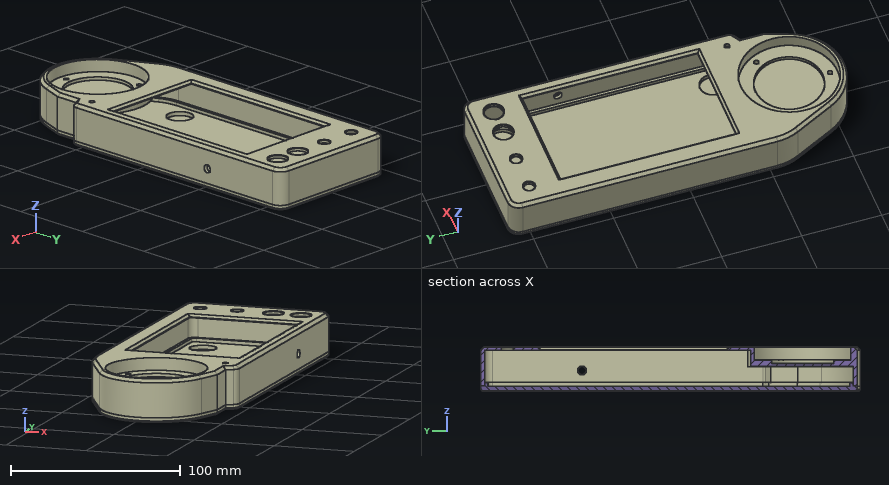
import cadquery as cq
import math

WIDTH = 90.0
LENGTH = 224.0
HEIGHT = 26.0
PLATE_THICKNESS = 3.0
TOP_CHAMFER = 2.0
BOTTOM_CHAMFER = 1.0

NOSE_RADIUS = 34.0
DIAL_X = 1.5
LEFT_X = -WIDTH / 2
RIGHT_X = WIDTH / 2
BACK_Y = LENGTH / 2
DIAL_Y = -LENGTH / 2 + NOSE_RADIUS
DIAL_CENTRE = (DIAL_X, DIAL_Y)
BACK_CORNER_RADIUS = 7.0
SHOULDER_RADIUS = 30.7
SHOULDER_Y = DIAL_Y + 16.4
NOTCH_X = 38.8
NOTCH_LOW_Y = DIAL_Y + 2.5
NOTCH_HIGH_Y = DIAL_Y + 17.5
NOTCH_SLOPE = 30.0
NOTCH_CORNER_RADIUS = 4.5
NOTCH_TOP_Y = NOTCH_HIGH_Y + (RIGHT_X - NOTCH_X) * math.tan(math.radians(NOTCH_SLOPE))

WALL = 2.5
ROOF_THICKNESS = 2.0
RIM_WIDTH = 2.0
RIM_HEIGHT = 2.2

WINDOW_X = 2.7
WINDOW_Y = 21.7
WINDOW_WIDTH = 68.3
WINDOW_LENGTH = 109.8
WINDOW_CHAMFER = 1.5

DIAL_DIAMETER = 60.3
DIAL_DEPTH = 7.6
DIAL_HUB_DIAMETER = 42.0
DIAL_HUB_DEPTH = 2.0
DIAL_SCREW_DIAMETER = 3.0
DIAL_SCREW_CIRCLE_RADIUS = 25.5
DIAL_SCREW_ANGLES = (30, 150, 270)
DIAL_FLOOR_THICKNESS = 2.0
BOWL_DIAMETER = DIAL_DIAMETER + 2 * WALL
BOWL_DEPTH = DIAL_DEPTH + DIAL_HUB_DEPTH + DIAL_FLOOR_THICKNESS

HOLE_ROW_Y = 96.4
SMALL_HOLE_DIAMETER = 7.0
SMALL_HOLE_X = (-31.8, -8.7)
LARGE_HOLE_DIAMETER = 11.9
LARGE_HOLE_X = (14.0, 31.1)
HOLE_CHAMFER = 0.34
CHAMFER_ANGLE = 45
PIN_HOLE_DIAMETER = 3.1
PIN_HOLE_X = 35.2
PIN_HOLE_Y = -50.9
SIDE_HOLE_DIAMETER = 5.0
SIDE_HOLE_Y = 52.2
SIDE_HOLE_Z = 12.0

RECESS_DIAMETER = 16.1
RECESS_DEPTH = 2.5
RECESS_X = 28.5
RECESS_Y = (-39.7, 91.6)


def tangent_point(x, y, side):
    """Point where a line from (x, y) touches the nose circle; side is +1 for right, -1 for left."""
    dx = x - DIAL_X
    dy = y - DIAL_Y
    toward = math.atan2(dy, dx)
    angle = toward - side * math.acos(NOSE_RADIUS / math.hypot(dx, dy))
    return DIAL_X + NOSE_RADIUS * math.cos(angle), DIAL_Y + NOSE_RADIUS * math.sin(angle)


def outline_prism(bottom, top, inset=0.0):
    """Prism of the case outline between two levels, pulled in by inset all round."""
    prism = (
        cq.Workplane("XY", origin=(0, 0, bottom))
        .moveTo(LEFT_X, SHOULDER_Y)
        .lineTo(*tangent_point(LEFT_X, SHOULDER_Y, -1))
        .threePointArc((DIAL_X, -LENGTH / 2), tangent_point(NOTCH_X, NOTCH_LOW_Y, 1))
        .lineTo(NOTCH_X, NOTCH_LOW_Y)
        .lineTo(NOTCH_X, NOTCH_HIGH_Y)
        .lineTo(RIGHT_X, NOTCH_TOP_Y)
        .lineTo(RIGHT_X, BACK_Y)
        .lineTo(LEFT_X, BACK_Y)
        .close()
        .extrude(top - bottom)
    )
    for x, y, radius in (
        (LEFT_X, BACK_Y, BACK_CORNER_RADIUS),
        (RIGHT_X, BACK_Y, BACK_CORNER_RADIUS),
        (LEFT_X, SHOULDER_Y, SHOULDER_RADIUS),
        (RIGHT_X, NOTCH_TOP_Y, NOTCH_CORNER_RADIUS),
    ):
        corner = cq.selectors.NearestToPointSelector((x, y, (bottom + top) / 2))
        prism = prism.edges("|Z").edges(corner).fillet(radius)
    if inset:
        base = cq.Workplane("XY").add(prism.faces("<Z").wires().val()).toPending()
        prism = base.offset2D(-inset, "intersection").extrude(top - bottom)
    return prism


def drill(points, diameter, top, depth):
    """Upright cylinders that reach down from the level top."""
    return (
        cq.Workplane("XY", origin=(0, 0, top))
        .pushPoints(points)
        .circle(diameter / 2)
        .extrude(-depth)
    )


def window_cutter():
    """Window opening through the roof, with a bevelled upper edge."""
    opening = (
        cq.Workplane("XY", origin=(WINDOW_X, WINDOW_Y, HEIGHT))
        .rect(WINDOW_WIDTH, WINDOW_LENGTH)
        .extrude(-ROOF_THICKNESS)
    )
    bevel = (
        cq.Workplane("XY", origin=(WINDOW_X, WINDOW_Y, HEIGHT))
        .rect(WINDOW_WIDTH + 2 * WINDOW_CHAMFER, WINDOW_LENGTH + 2 * WINDOW_CHAMFER)
        .workplane(offset=-WINDOW_CHAMFER)
        .rect(WINDOW_WIDTH, WINDOW_LENGTH)
        .loft(ruled=True)
    )
    return opening.union(bevel)


def dial_cutter():
    """Stepped dial seat with its three screw holes."""
    seat_z = HEIGHT - DIAL_DEPTH
    screws = []
    for angle in DIAL_SCREW_ANGLES:
        x = DIAL_X + DIAL_SCREW_CIRCLE_RADIUS * math.cos(math.radians(angle))
        y = DIAL_Y + DIAL_SCREW_CIRCLE_RADIUS * math.sin(math.radians(angle))
        screws.append((x, y))
    seat = drill([DIAL_CENTRE], DIAL_DIAMETER, HEIGHT, DIAL_DEPTH)
    hub = drill([DIAL_CENTRE], DIAL_HUB_DIAMETER, seat_z, DIAL_HUB_DEPTH)
    screw_holes = drill(screws, DIAL_SCREW_DIAMETER, seat_z, BOWL_DEPTH - DIAL_DEPTH)
    return seat.union(hub).union(screw_holes)


def chamfered_holes(xs, diameter):
    """Row of roof holes with a small chamfer at the top edge."""
    points = [(x, HOLE_ROW_Y) for x in xs]
    countersink = (
        cq.Workplane("XY", origin=(0, 0, HEIGHT))
        .pushPoints(points)
        .circle(diameter / 2 + HOLE_CHAMFER)
        .extrude(-HOLE_CHAMFER, taper=CHAMFER_ANGLE)
    )
    return drill(points, diameter, HEIGHT, ROOF_THICKNESS).union(countersink)


def side_hole():
    """Hole through the +X wall."""
    return (
        cq.Workplane("YZ", origin=(RIGHT_X, SIDE_HOLE_Y, SIDE_HOLE_Z))
        .circle(SIDE_HOLE_DIAMETER / 2)
        .extrude(-WALL)
    )


def make_housing():
    """Hollow upper shell, open below, with a solid bowl around the dial seat."""
    shell = outline_prism(PLATE_THICKNESS, HEIGHT).faces(">Z").chamfer(TOP_CHAMFER)
    bowl = drill([DIAL_CENTRE], BOWL_DIAMETER, HEIGHT, BOWL_DEPTH)
    cavity = outline_prism(PLATE_THICKNESS, HEIGHT - ROOF_THICKNESS, WALL).cut(bowl)
    pin_hole = drill([(PIN_HOLE_X, PIN_HOLE_Y)], PIN_HOLE_DIAMETER, HEIGHT, ROOF_THICKNESS)
    return (
        shell.cut(cavity)
        .cut(window_cutter())
        .cut(dial_cutter())
        .cut(chamfered_holes(SMALL_HOLE_X, SMALL_HOLE_DIAMETER))
        .cut(chamfered_holes(LARGE_HOLE_X, LARGE_HOLE_DIAMETER))
        .cut(pin_hole)
        .cut(side_hole())
    )


def make_plate():
    """Bottom plate with a rim that fits inside the shell and four round recesses."""
    plate = outline_prism(0, PLATE_THICKNESS).faces("<Z").chamfer(BOTTOM_CHAMFER)
    rim_top = PLATE_THICKNESS + RIM_HEIGHT
    rim = outline_prism(PLATE_THICKNESS, rim_top, WALL)
    rim = rim.cut(outline_prism(PLATE_THICKNESS, rim_top, WALL + RIM_WIDTH))
    plate = plate.union(rim)
    recesses = [(x, y) for x in (-RECESS_X, RECESS_X) for y in RECESS_Y]
    return plate.cut(drill(recesses, RECESS_DIAMETER, PLATE_THICKNESS, RECESS_DEPTH))


housing = make_housing()
plate = make_plate()
result = cq.Compound.makeCompound([*housing.solids().vals(), *plate.solids().vals()])